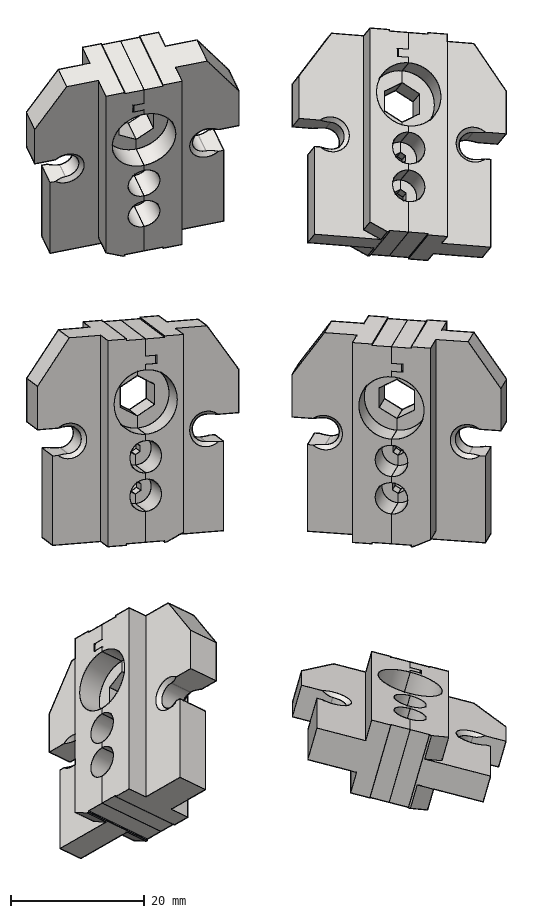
import cadquery as cq
import math


height = 32.0
half_width = height / 2
block_thickness = 12.0
block_half_width = block_thickness / 2
left_wing_thickness = 5.2
right_wing_thickness = 4.25
lower_wing_half_width = 13.6
corner_width = 5.02
corner_height = 7.15

relief_half_width = block_half_width / 2
relief_depth = 0.22

slot_z = height / 2
slot_radius = 2.1
slot_center_y = half_width - corner_width
countersink_radius = 2.75
countersink_depth = countersink_radius - slot_radius

small_recess_radius = 2.5
small_recess_depth = 5.0
cavities = [
    (22.0, 2 * small_recess_radius, 4.0, 5.4),
    (13.5, small_recess_radius, small_recess_depth, 1.55),
    (7.52, small_recess_radius, small_recess_depth, 1.75),
]

tab_top_z = 29.12
tab_height = 1.28
tab_length = 1.57
tab_slot_length = 1.75

lead_in_width = 2.7
lead_in_height = 1.3


def plate(outline, thickness):
    """Closed Y-Z outline extruded evenly to both sides of X = 0."""
    return cq.Workplane("YZ").polyline(outline).close().extrude(thickness / 2, both=True)


def slab(y_start, y_end, z_start, z_end, thickness):
    """Rectangular plate between two Y and two Z values."""
    outline = [(y_start, z_start), (y_end, z_start), (y_end, z_end), (y_start, z_end)]
    return plate(outline, thickness)


def wing(side, thickness):
    """Full-height plate with a sloped top corner; side is +1 or -1 along Y."""
    outline = [
        (0, 0),
        (side * lower_wing_half_width, 0),
        (side * lower_wing_half_width, slot_z),
        (side * half_width, slot_z),
        (side * half_width, height - corner_height),
        (side * (half_width - corner_width), height),
        (0, height),
    ]
    return plate(outline, thickness)


def mounting_slot(side, thickness):
    """Round-ended slot open to the side, countersunk from both wing faces."""
    center_y = side * slot_center_y
    cutter = slab(center_y, side * half_width, slot_z - slot_radius, slot_z + slot_radius, thickness)
    round_end = (
        cq.Workplane("YZ").center(center_y, slot_z).circle(slot_radius).extrude(thickness / 2, both=True)
    )
    cutter = cutter.union(round_end)
    for face in (-1, 1):
        cone = cq.Solid.makeCone(
            countersink_radius,
            slot_radius,
            countersink_depth,
            pnt=cq.Vector(face * thickness / 2, center_y, slot_z),
            dir=cq.Vector(-face, 0, 0),
        )
        cutter = cutter.union(cq.Workplane(obj=cone))
    return cutter


def cavity(axis_z, recess_radius, recess_depth, across_flats):
    """Hexagon right through, points up and down, with a round recess in both faces."""
    corner_radius = across_flats / 2 / math.cos(math.pi / 6)
    corner_angles = [math.pi / 2 + i * math.pi / 3 for i in range(6)]
    hexagon = [
        (corner_radius * math.cos(a), axis_z + corner_radius * math.sin(a)) for a in corner_angles
    ]
    cutter = plate(hexagon, block_thickness)
    for face in (-1, 1):
        recess = (
            cq.Workplane("YZ", origin=(face * block_thickness / 2, 0, axis_z))
            .circle(recess_radius)
            .extrude(-face * recess_depth)
        )
        cutter = cutter.union(recess)
    return cutter


def tab(length):
    """Locating tab through the full thickness, reaching from the parting plane to -Y."""
    return slab(-length, 0, tab_top_z - tab_height, tab_top_z, block_thickness)


def block_with_lead_in():
    """Right die's block with the lower outer edge cut off at a slope."""
    outline = [
        (0, 0),
        (lead_in_width - block_half_width, 0),
        (-block_half_width, lead_in_height),
        (-block_half_width, height),
        (0, height),
    ]
    return plate(outline, block_thickness)


def die(side, block, wing_thickness):
    """Block joined with its wing, then relieved, slotted and bored."""
    body = block.union(wing(side, wing_thickness))
    relief_y = side * relief_half_width
    body = body.cut(slab(0, relief_y, height - relief_depth, height, block_thickness))
    body = body.cut(slab(0, relief_y, 0, relief_depth, block_thickness))
    body = body.cut(mounting_slot(side, wing_thickness))
    for axis_z, recess_radius, recess_depth, across_flats in cavities:
        body = body.cut(cavity(axis_z, recess_radius, recess_depth, across_flats))
    return body


left_block = slab(0, block_half_width, 0, height, block_thickness)
left_die = die(1, left_block, left_wing_thickness).union(tab(tab_length))

right_die = die(-1, block_with_lead_in(), right_wing_thickness).cut(tab(tab_slot_length))

result = cq.Compound.makeCompound([left_die.val(), right_die.val()])